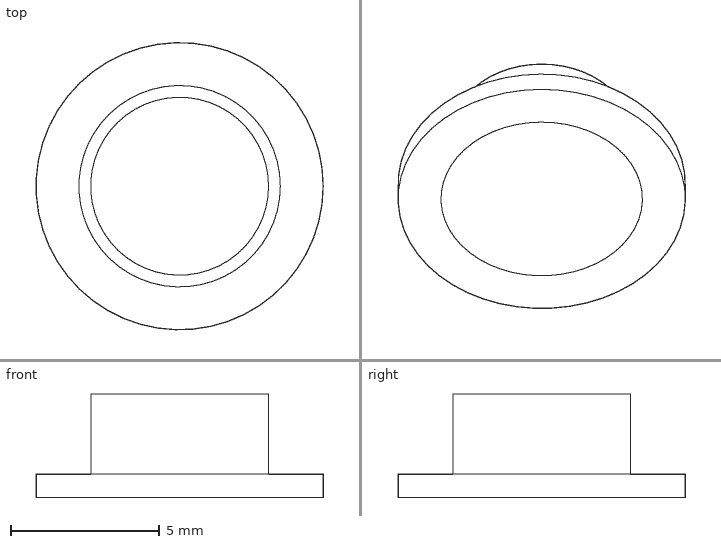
import cadquery as cq

ring_diameter = 9.7
total_height = 3.5

ring_thickness = 0.8
bore_diameter = 6.8

flange_core_diameter = 6.7
boss_diameter = 6.0
boss_height = total_height - ring_thickness


def make_tube(outer_diameter, inner_diameter):
    """Plain tube as thick as the ring, with its underside on Z = 0."""
    return (
        cq.Workplane("XY")
        .circle(outer_diameter / 2)
        .circle(inner_diameter / 2)
        .extrude(ring_thickness)
    )


def make_ring():
    """Flat washer around the plug."""
    return make_tube(ring_diameter, bore_diameter)


def make_plug():
    """Flange flush with the ring, with a thin rim that fits the bore, and the boss."""
    core = cq.Workplane("XY").circle(flange_core_diameter / 2).extrude(ring_thickness)
    rim = make_tube(bore_diameter, flange_core_diameter)
    boss = (
        cq.Workplane("XY")
        .workplane(offset=ring_thickness)
        .circle(boss_diameter / 2)
        .extrude(boss_height)
    )
    return core.union(rim, clean=False).union(boss, clean=False)


ring = make_ring()
plug = make_plug()

result = cq.Compound.makeCompound([ring.val(), *plug.solids().vals()])